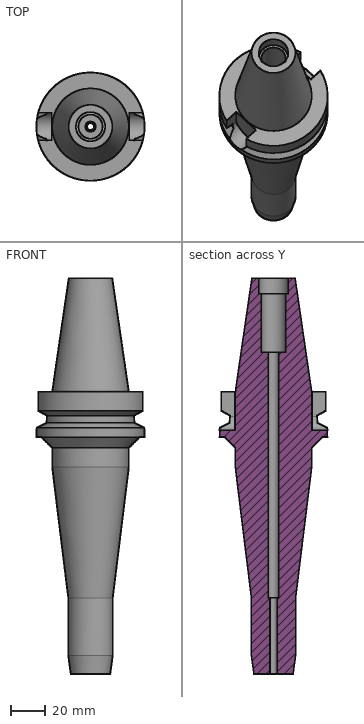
import cadquery as cq
import math


taper_length = 65.4
taper_ratio = 7 / 24
gauge_radius = 44.45 / 2
shank_end_radius = gauge_radius - taper_length * taper_ratio / 2
overall_length = 230.1
nose_z = taper_length - overall_length

flange_radius = 63.0 / 2
groove_radius = 53.3 / 2
flange_top_z = -0.5
flange_bottom_z = -27.0
groove_center_z = -16.6
groove_floor_width = 4.2
groove_wall_angle = 60.0
groove_wall_height = (flange_radius - groove_radius) / math.tan(math.radians(groove_wall_angle))
groove_floor_top_z = groove_center_z + groove_floor_width / 2
groove_floor_bottom_z = groove_center_z - groove_floor_width / 2
upper_rim_bottom_z = groove_floor_top_z + groove_wall_height
lower_rim_top_z = groove_floor_bottom_z - groove_wall_height

collar_radius = 44.7 / 2
shoulder_height = 6.2
shoulder_radius = collar_radius + shoulder_height
shoulder_bottom_z = flange_bottom_z - shoulder_height
collar_length = 11.1
collar_bottom_z = shoulder_bottom_z - collar_length
neck_radius = 26.0 / 2
neck_length = 33.5
nose_length = 11.0
nose_end_radius = 23.0 / 2
neck_bottom_z = nose_z + nose_length
neck_top_z = neck_bottom_z + neck_length

slot_width = 16.1
slot_floor_distance = 22.5
slot_bottom_z = -22.9

pilot_radius = 17.0 / 2
pilot_depth = 9.0
stud_hole_radius = 14.0 / 2
stud_hole_depth = 43.0
coolant_hole_radius = 6.0 / 2
tool_bore_radius = 4.0 / 2
tool_bore_length = neck_length + nose_length


def make_body():
    """Revolve the outer half profile about Z."""
    profile = [
        (0, taper_length),
        (shank_end_radius, taper_length),
        (gauge_radius, 0),
        (gauge_radius, flange_top_z),
        (flange_radius, flange_top_z),
        (flange_radius, upper_rim_bottom_z),
        (groove_radius, groove_floor_top_z),
        (groove_radius, groove_floor_bottom_z),
        (flange_radius, lower_rim_top_z),
        (flange_radius, flange_bottom_z),
        (shoulder_radius, flange_bottom_z),
        (collar_radius, shoulder_bottom_z),
        (collar_radius, collar_bottom_z),
        (neck_radius, neck_top_z),
        (neck_radius, neck_bottom_z),
        (nose_end_radius, nose_z),
        (0, nose_z),
    ]
    return cq.Workplane("XZ").polyline(profile).close().revolve(360, (0, 0), (0, 1))


def make_bore():
    """Stack the bore steps: pilot, stud hole, coolant hole and tool bore."""
    step_depths = [
        (pilot_radius, pilot_depth),
        (stud_hole_radius, stud_hole_depth),
        (coolant_hole_radius, overall_length - tool_bore_length),
        (tool_bore_radius, overall_length),
    ]
    bore = cq.Workplane("XY")
    for radius, depth in step_depths:
        bore = bore.union(cq.Workplane("XY").workplane(offset=taper_length).circle(radius).extrude(-depth))
    return bore


def make_drive_slot(side):
    """Round-bottomed slot open at the flange top; side is -1 or +1 along X."""
    half_width = slot_width / 2
    arc_center_z = slot_bottom_z + half_width
    slot_depth = flange_radius - slot_floor_distance
    outline = (
        cq.Workplane("YZ", origin=(side * slot_floor_distance, 0, 0))
        .moveTo(-half_width, flange_top_z)
        .lineTo(-half_width, arc_center_z)
        .threePointArc((0, slot_bottom_z), (half_width, arc_center_z))
        .lineTo(half_width, flange_top_z)
        .close()
    )
    return outline.extrude(side * slot_depth)


result = make_body().cut(make_bore())
for slot_side in (-1, 1):
    result = result.cut(make_drive_slot(slot_side))